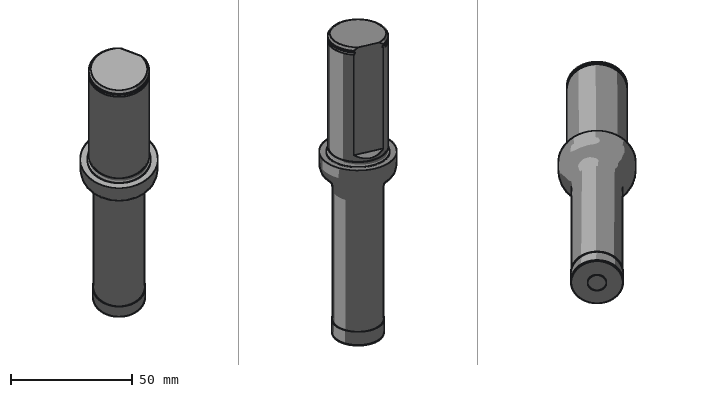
import cadquery as cq
import math

total_length = 143.0
head_top = 7.2
neck_bottom = 69.0
flange_top = 87.0
flange_rim_height = 4.9
relief_top = 89.1
runout_bottom = 90.2

head_radius = 10.9
head_chamfer_height = 0.6
head_chamfer_width = 0.3
tip_radius = 3.9
tip_height = 0.5

stem_radius = 21.2 / 2
flange_radius = 32.0 / 2
shank_radius = 25.0 / 2
shank_foot_chamfer = 0.6
relief_radius = shank_radius - shank_foot_chamfer
relief_fillet = 1.1
recess_depth = 0.5

bulge_point = (14.2, 77.0)
hollow_point = (11.3, 73.2)

end_face_radius = 11.6
end_chamfer_height = 1.1
end_land_height = 0.5

groove_radius = 24.5 / 2
groove_upper_height = 0.7
groove_lower_height = 0.9

flat_offset = 10.6


def make_head():
    """Short cylindrical head with a chamfered rim and a small raised tip."""
    tip = cq.Workplane("XY").circle(tip_radius).extrude(tip_height)
    rim = (
        cq.Workplane("XY")
        .workplane(offset=tip_height)
        .circle(head_radius)
        .extrude(head_top - tip_height)
        .faces("<Z")
        .chamfer(head_chamfer_height, head_chamfer_width)
    )
    return rim.union(tip)


def make_turned_holder():
    """Stem, bulged flange with recessed top, relief and shank as one turned shape."""
    rim_bottom = flange_top - flange_rim_height

    fillet_center_radius = relief_radius + relief_fillet
    recess_floor = flange_top - recess_depth
    fillet_center_height = recess_floor + relief_fillet
    fillet_middle = (
        fillet_center_radius - relief_fillet * math.cos(math.radians(45)),
        fillet_center_height - relief_fillet * math.sin(math.radians(45)),
    )

    end_land_top = total_length - end_chamfer_height
    end_land_bottom = end_land_top - end_land_height
    groove_floor = end_land_bottom - groove_upper_height
    groove_bottom = groove_floor - groove_lower_height

    profile = (
        cq.Workplane("XZ")
        .moveTo(0, head_top)
        .lineTo(stem_radius, head_top)
        .lineTo(stem_radius, neck_bottom)
        .spline(
            [hollow_point, bulge_point, (flange_radius, rim_bottom)],
            tangents=[(0, 1), (0, 1)],
            includeCurrent=True,
        )
        .lineTo(flange_radius, flange_top)
        .lineTo(fillet_center_radius, flange_top)
        .lineTo(fillet_center_radius, recess_floor)
        .threePointArc(fillet_middle, (relief_radius, fillet_center_height))
        .lineTo(relief_radius, relief_top - shank_foot_chamfer)
        .lineTo(shank_radius, relief_top)
        .lineTo(shank_radius, groove_bottom)
        .lineTo(groove_radius, groove_floor)
        .lineTo(shank_radius, end_land_bottom)
        .lineTo(shank_radius, end_land_top)
        .lineTo(end_face_radius, total_length)
        .lineTo(0, total_length)
        .close()
    )
    return profile.revolve(360, (0, 0, 0), (0, 1, 0))


def make_flat_cutter():
    """Material removed for the flat, ending in a 45 degree run-out."""
    depth = shank_radius - flat_offset
    runout_top = runout_bottom + shank_radius - flat_offset
    return (
        cq.Workplane("YZ")
        .moveTo(flat_offset, runout_top)
        .lineTo(flat_offset + depth, runout_top - depth)
        .lineTo(flat_offset + depth, total_length)
        .lineTo(flat_offset, total_length)
        .close()
        .extrude(flange_radius, both=True)
    )


head = make_head()
holder = make_turned_holder().cut(make_flat_cutter())

result = cq.Compound.makeCompound([head.val(), holder.val()])